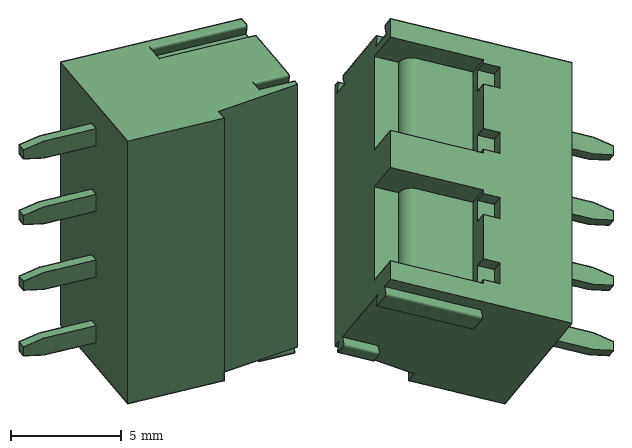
import cadquery as cq
import math

WIDTH = 7.4
DEPTH = 8.99
POLES = 4
HEIGHT = 14.0
PITCH = HEIGHT / POLES
TOTAL_HEIGHT = 14.55
KEY_HEIGHT = TOTAL_HEIGHT - HEIGHT

SLOPE_LENGTH = 4.2
BACK_WIDTH = 6.14
SHOULDER_WIDTH = 6.78

PIN_LENGTH = 3.61
PIN_WIDTH = 0.5
PIN_HEIGHT = 0.9
PIN_TAPER = 1.0
PIN_TIP_HEIGHT = 0.48

POCKETS = 2
POCKET_HEIGHT = 5.0
POCKET_LENGTH = 4.6
POCKET_DEPTH = 1.78
LEDGE_START = 1.2
LEDGE_ROUND = 0.64
LEDGE_DEPTH = POCKET_DEPTH - LEDGE_ROUND

NOTCH_HEIGHT = 1.12
NOTCH_LENGTH = 0.83
NOTCH_DEPTH = 0.63

DOVETAILS = [
    (1.05, 0.77, 4.79),
    (5.5, 0.41, 1.76),
]
FLARE = 0.19
DOVETAIL_ROUND = 0.12


def pole_heights():
    """Z of every pole, each in the middle of its share of the housing."""
    return [PITCH * (index + 0.5) for index in range(POLES)]


def housing():
    """Block with its back face at Y = 0, the -X face at X = 0 and the bottom at Z = 0."""
    outline = [
        (0, 0),
        (0, -DEPTH),
        (WIDTH, -DEPTH),
        (WIDTH, -SLOPE_LENGTH),
        (SHOULDER_WIDTH, -SLOPE_LENGTH),
        (BACK_WIDTH, 0),
    ]
    return cq.Workplane("XY").polyline(outline).close().extrude(HEIGHT)


def pocket(z_middle):
    """Pocket open at the back, with a shallower rounded ledge at its inner part."""
    arc_shift = LEDGE_ROUND * (1 - math.sqrt(0.5))
    return (
        cq.Workplane("XY", origin=(0, 0, z_middle - POCKET_HEIGHT / 2))
        .moveTo(0, 0)
        .lineTo(POCKET_DEPTH, 0)
        .lineTo(POCKET_DEPTH, -LEDGE_START)
        .threePointArc(
            (LEDGE_DEPTH + arc_shift, -LEDGE_START - arc_shift),
            (LEDGE_DEPTH, -LEDGE_START - LEDGE_ROUND),
        )
        .lineTo(LEDGE_DEPTH, -POCKET_LENGTH)
        .lineTo(0, -POCKET_LENGTH)
        .close()
        .extrude(POCKET_HEIGHT)
    )


def notch(z_middle):
    """Shallow recess that continues the pocket toward the pins."""
    return (
        cq.Workplane("XY", origin=(0, -POCKET_LENGTH - NOTCH_LENGTH, z_middle - NOTCH_HEIGHT / 2))
        .rect(NOTCH_DEPTH, NOTCH_LENGTH, centered=False)
        .extrude(NOTCH_HEIGHT)
    )


def pin(z_middle):
    """Rectangular pin, tapered in height toward its tip."""
    half = PIN_HEIGHT / 2
    half_tip = PIN_TIP_HEIGHT / 2
    tip = -DEPTH - PIN_LENGTH
    outline = [
        (-DEPTH, -half),
        (tip + PIN_TAPER, -half),
        (tip, -half_tip),
        (tip, half_tip),
        (tip + PIN_TAPER, half),
        (-DEPTH, half),
    ]
    return (
        cq.Workplane("YZ", origin=((WIDTH - PIN_WIDTH) / 2, 0, z_middle))
        .polyline(outline)
        .close()
        .extrude(PIN_WIDTH)
    )


def dovetail(x_middle, root_width, length, root_z):
    """Sharp-edged dovetail bar hanging below root_z, starting at the back face."""
    root = root_width / 2
    foot = root + FLARE
    outline = [
        (-root, 0),
        (-foot, -KEY_HEIGHT),
        (foot, -KEY_HEIGHT),
        (root, 0),
    ]
    return (
        cq.Workplane("XZ", origin=(x_middle, 0, root_z))
        .polyline(outline)
        .close()
        .extrude(length)
    )


def cut_groove(body, x_middle, root_width, length):
    """Dovetail groove in the top face, with both edges of its mouth rounded."""
    body = body.cut(dovetail(x_middle, root_width, length, HEIGHT))
    for side in (-1, 1):
        mouth_edge = (x_middle + side * root_width / 2, -length / 2, HEIGHT)
        body = body.edges(cq.NearestToPointSelector(mouth_edge)).fillet(DOVETAIL_ROUND)
    return body


def add_key(body, x_middle, root_width, length):
    """Dovetail key under the bottom face, with both edges of its foot rounded."""
    key = dovetail(x_middle, root_width, length, 0)
    return body.union(key.faces("<Z").edges("|Y").fillet(DOVETAIL_ROUND))


result = housing()

for x, root_width, length in DOVETAILS:
    result = cut_groove(result, x, root_width, length)
    result = add_key(result, x, root_width, length)

for index in range(POCKETS):
    result = result.cut(pocket(HEIGHT * (index + 0.5) / POCKETS))

for z in pole_heights():
    result = result.cut(notch(z))
    result = result.union(pin(z))